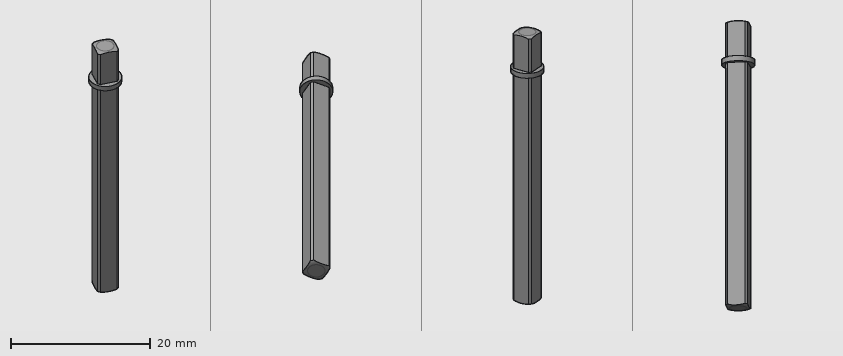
import cadquery as cq

length = 42.65
pin_width = 3.2
corner_chamfer = 0.35

collar_diameter = 4.8
collar_height = 0.75
collar_top_setback = 5.5

end_flat_diameter = 2.5
end_arc_radius = 1.5


def square_pin():
    """Square bar along Z with chamfered long edges."""
    bar = cq.Workplane("XY").rect(pin_width, pin_width).extrude(length)
    return bar.edges("|Z").chamfer(corner_chamfer)


def domed_envelope():
    """Turned blank, wider than the pin, with both rims rounded down to a flat."""
    blank_radius = end_flat_diameter / 2 + end_arc_radius
    blank = cq.Workplane("XY").circle(blank_radius).extrude(length)
    return blank.faces("<Z or >Z").edges().fillet(end_arc_radius)


def collar():
    """Thin disc around the pin near its upper end."""
    base_height = length - collar_top_setback - collar_height
    disc = cq.Workplane("XY").circle(collar_diameter / 2).extrude(collar_height)
    return disc.translate((0, 0, base_height))


result = square_pin().intersect(domed_envelope()).union(collar())